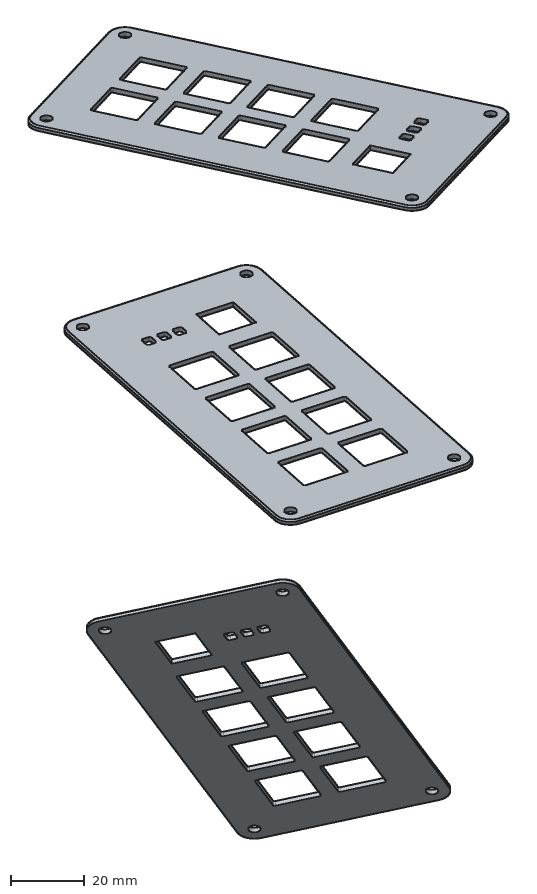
import cadquery as cq

plate_length = 119.0
plate_width = 62.0
plate_thickness = 1.5
plate_corner_radius = 5.0
top_chamfer = 0.5

mount_hole_diameter = 3.4
mount_spacing_x = plate_length - 2 * plate_corner_radius
mount_spacing_y = plate_width - 2 * plate_corner_radius

key_pitch = 19.05
key_columns = 4
key_rows = 2
key_window = 14.0
key_corner_radius = 0.5
key_grid_center = (-10.0, -0.25)

encoder_center = (38.05, -9.6)
encoder_length = 12.0
encoder_width = 11.75

led_count = 3
led_pitch = 4.85
led_center = (39.1, 9.45)
led_length = 3.4
led_width = 3.0
led_corner_radius = 0.7


def make_plate():
    """Rounded rectangular plate with its top rim chamfered."""
    plate = cq.Workplane("XY").rect(plate_length, plate_width).extrude(plate_thickness)
    plate = plate.edges("|Z").fillet(plate_corner_radius)
    return plate.faces(">Z").edges().chamfer(top_chamfer)


def make_mount_holes():
    """Through cutters for the four corner screws."""
    holes = cq.Workplane("XY").rect(mount_spacing_x, mount_spacing_y, forConstruction=True).vertices()
    return holes.circle(mount_hole_diameter / 2).extrude(plate_thickness)


def make_key_windows():
    """Through cutters for the grid of key switches."""
    windows = cq.Workplane("XY").center(*key_grid_center).rarray(key_pitch, key_pitch, key_columns, key_rows)
    windows = windows.rect(key_window, key_window).extrude(plate_thickness)
    return windows.edges("|Z").fillet(key_corner_radius)


def make_encoder_window():
    """Through cutter for the rotary encoder."""
    window = cq.Workplane("XY").center(*encoder_center)
    return window.rect(encoder_length, encoder_width).extrude(plate_thickness)


def make_led_windows():
    """Through cutters for the column of indicators."""
    windows = cq.Workplane("XY").center(*led_center).rarray(1, led_pitch, 1, led_count)
    windows = windows.rect(led_length, led_width).extrude(plate_thickness)
    return windows.edges("|Z").fillet(led_corner_radius)


result = (
    make_plate()
    .cut(make_mount_holes())
    .cut(make_key_windows())
    .cut(make_encoder_window())
    .cut(make_led_windows())
)